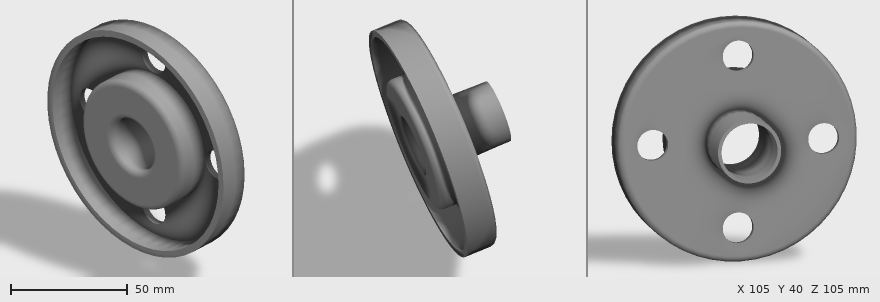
import cadquery as cq

flange_radius = 52.5
rim_thickness = 3.0
flange_depth = 14.5
web_thickness = 3.0

hub_radius = 30.0
hub_projection = 2.5

spigot_length = 23.0
spigot_base_radius = 14.4
spigot_tip_radius = 13.9

bore_radius = 12.3
edge_radius = 2.5

bolt_hole_diameter = 13.5
bolt_circle_radius = 37.5
bolt_count = 4

hub_face = -hub_projection
web_face = flange_depth - web_thickness
back_face = flange_depth
spigot_end = back_face + spigot_length


def make_body():
    """Revolve the half section (radius, Y) about the Y axis."""
    quarter_bend = edge_radius * (1 - 0.5**0.5)
    section = (
        cq.Workplane("XY")
        .moveTo(bore_radius, hub_face + edge_radius)
        .threePointArc(
            (bore_radius + quarter_bend, hub_face + quarter_bend),
            (bore_radius + edge_radius, hub_face),
        )
        .lineTo(hub_radius - edge_radius, hub_face)
        .threePointArc(
            (hub_radius - quarter_bend, hub_face + quarter_bend),
            (hub_radius, hub_face + edge_radius),
        )
        .lineTo(hub_radius, web_face)
        .lineTo(flange_radius - rim_thickness, web_face)
        .lineTo(flange_radius - rim_thickness, 0)
        .lineTo(flange_radius, 0)
        .lineTo(flange_radius, back_face - edge_radius)
        .threePointArc(
            (flange_radius - quarter_bend, back_face - quarter_bend),
            (flange_radius - edge_radius, back_face),
        )
        .lineTo(spigot_base_radius, back_face)
        .lineTo(spigot_tip_radius, spigot_end)
        .lineTo(bore_radius, spigot_end)
        .close()
    )
    return section.revolve(360, (0, 0, 0), (0, 1, 0))


def drill_bolt_holes(body):
    """Drill the evenly spaced bolt holes through the web."""
    holes = (
        cq.Workplane("XZ")
        .polarArray(bolt_circle_radius, 0, 360, bolt_count)
        .circle(bolt_hole_diameter / 2)
        .extrude(-back_face)
    )
    return body.cut(holes)


result = drill_bolt_holes(make_body())